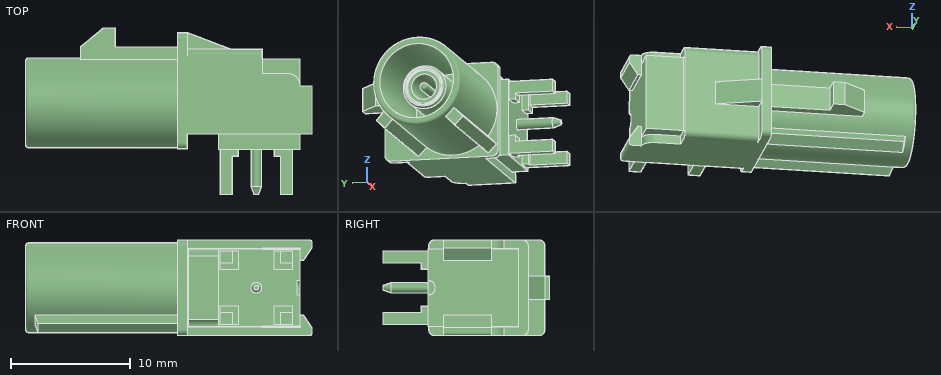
import cadquery as cq


flange_front = 12.67
flange_back = 13.5
flange_bottom = -3.83
flange_top = 5.87
body_width = 8.0
flange_corner_radius = 0.5

barrel_radius = 3.76
barrel_edge_radius = 0.28
bore_radius = 3.16
wall_mid_radius = (barrel_radius + bore_radius) / 2

sleeve_front = 2.45
sleeve_radius = 1.83
sleeve_tip_radius = 1.65
sleeve_taper_length = 0.3
insulator_front = 2.53
insulator_radius = 1.52
insulator_tip_radius = 1.40
insulator_bore_radius = 1.07
contact_tip = 2.3
contact_radius = 0.35
contact_tip_rounding = 0.28

key_size = 1.02
key_outer_reach = 4.75
key_start_inner = 0.78
key_start_outer = 1.04
key_angles = (45, 135)

ridge_width = 1.96
ridge_height = 4.67
ridge_start = 4.57
latch_peak_start = 6.5
latch_peak_end = 7.5
latch_top = 6.26
rib_end = 17.16

housing_bottom = -2.6
housing_top = 4.48
housing_edge_radius = 0.51
housing_step = 19.75
cheek_top = 2.44
cheek_corner_radius = 1.0
tail_top = 1.43
tail_end = 23.9
tail_edge_radius = 0.22
slot_width = 6.56

hook_gap_half = 2.28
hook_flat_end = 23.2
hook_slope_half = 3.33

block_width = 6.46
block_front = 13.58
block_bottom = -1.85
block_top = 3.68
block_back = 22.9
cove_radius = 0.6
neck_radius = 1.4
base_front = 16.08
base_bottom = -3.9
notch_depth = 0.26
notch_width = 1.22

lead_end = -7.65
leg_center_x = 19.25
leg_outer_half_x = 3.02
leg_outer_half_z = 3.07
leg_size = 1.02
foot_size = 1.53
foot_bottom = -4.45
pin_radius = 0.44
pin_tip_radius = 0.19
pin_tip_length = 0.67


def box(x0, x1, y0, y1, z0, z1):
    """Axis-aligned box between two opposite corners."""
    return cq.Workplane("XY").box(x1 - x0, y1 - y0, z1 - z0, centered=False).translate((x0, y0, z0))


def revolve_about_x(points):
    """Solid of revolution about the mating axis from (x, radius) points."""
    return cq.Workplane("XY").polyline(points).close().revolve(360, (0, 0, 0), (1, 0, 0))


def plate(points, width):
    """XY outline extruded symmetrically about Z = 0."""
    return cq.Workplane("XY").polyline(points).close().extrude(width / 2, both=True)


def make_barrel():
    """Tube with a rounded outer rim at the mouth."""
    barrel = cq.Workplane("YZ").circle(barrel_radius).extrude(flange_front)
    barrel = barrel.faces("<X").edges().fillet(barrel_edge_radius)
    bore = cq.Workplane("YZ").circle(bore_radius).extrude(flange_front)
    return barrel.cut(bore)


def make_contacts():
    """Tapered sleeve, the insulating tube inside it and the round-tipped centre contact."""
    insulator_taper = insulator_radius - insulator_tip_radius
    sleeve = revolve_about_x([
        (sleeve_front, insulator_radius),
        (sleeve_front, sleeve_tip_radius),
        (sleeve_front + sleeve_taper_length, sleeve_radius),
        (flange_front, sleeve_radius),
        (flange_front, insulator_radius),
    ])
    insulator = revolve_about_x([
        (insulator_front, insulator_bore_radius),
        (insulator_front, insulator_tip_radius),
        (insulator_front + insulator_taper, insulator_radius),
        (flange_front, insulator_radius),
        (flange_front, insulator_bore_radius),
    ])
    contact = cq.Workplane("YZ").circle(contact_radius).extrude(flange_front - contact_tip)
    contact = contact.faces("<X").edges().fillet(contact_tip_rounding).translate((contact_tip, 0, 0))
    return sleeve.union(insulator).union(contact)


def make_key(angle):
    """Square bar along the barrel, turned by the angle from +Y towards -Z, with a sloped front end."""
    inner_reach = key_outer_reach - key_size
    slope = (key_start_outer - key_start_inner) / key_size
    root_start = key_start_inner - slope * (inner_reach - wall_mid_radius)
    key = plate([
        (root_start, wall_mid_radius),
        (key_start_outer, key_outer_reach),
        (flange_front, key_outer_reach),
        (flange_front, wall_mid_radius),
    ], key_size)
    return key.rotate((0, 0, 0), (1, 0, 0), -angle)


def make_latch_ridge():
    """Ridge along the barrel with a ramped latch peak."""
    return plate([
        (ridge_start, wall_mid_radius),
        (ridge_start, ridge_height),
        (latch_peak_start, latch_top),
        (latch_peak_end, latch_top),
        (latch_peak_end, ridge_height),
        (flange_front, ridge_height),
        (flange_front, wall_mid_radius),
    ], ridge_width)


def make_flange():
    """Rectangular plate with rounded corners."""
    flange = box(flange_front, flange_back, flange_bottom, flange_top, -body_width / 2, body_width / 2)
    return flange.edges("|X").fillet(flange_corner_radius)


def make_rib():
    """Triangular gusset bracing the flange above the housing."""
    return plate([
        (flange_back, housing_top),
        (flange_back, flange_top),
        (rib_end, housing_top),
    ], ridge_width)


def make_housing():
    """Stepped shell open towards the inner block, ending in two hooked cheeks."""
    half = body_width / 2
    front = box(flange_back, housing_step, housing_bottom, housing_top, -half, half)
    front = front.edges("|X and >Y").fillet(housing_edge_radius)
    cheeks = box(housing_step, block_back, housing_bottom, cheek_top, -half, half)
    cheeks = cheeks.edges("|Z and >X and >Y").fillet(cheek_corner_radius)
    tail = box(housing_step, tail_end, housing_bottom, tail_top, -half, half)
    tail = tail.edges("|Y and >X").fillet(tail_edge_radius)
    slot = box(flange_back, block_back, housing_bottom, block_top, -slot_width / 2, slot_width / 2)
    hook_gap = (
        cq.Workplane("XZ")
        .polyline([
            (block_back, -hook_gap_half),
            (hook_flat_end, -hook_gap_half),
            (tail_end, -hook_slope_half),
            (tail_end, hook_slope_half),
            (hook_flat_end, hook_gap_half),
            (block_back, hook_gap_half),
        ])
        .close()
        .extrude(block_top, both=True)
    )
    return front.union(cheeks).union(tail).cut(slot).cut(hook_gap)


def make_inner_block():
    """Block filling the housing, with coved lower edges, a front neck and the notched leg base."""
    half = block_width / 2
    block = box(block_front, block_back, block_bottom, block_top, -half, half)
    for side in (-1, 1):
        cove = cq.Workplane("YZ").center(block_bottom, side * half).circle(cove_radius)
        block = block.cut(cove.extrude(base_front))
    neck = cq.Workplane("YZ", origin=(flange_back, 0, 0)).circle(neck_radius)
    neck = neck.extrude(base_front - flange_back)
    base = box(base_front, block_back, base_bottom, block_top, -half, half)
    notch = (
        cq.Workplane("YZ", origin=(block_back - notch_depth, base_bottom, 0))
        .circle(notch_width / 2)
        .extrude(notch_depth)
    )
    return block.union(neck).union(base.cut(notch))


def make_leg(side_x, side_z):
    """Square leg with a wider foot, both sharing the outer corner."""
    leg = box(0, leg_size, lead_end, base_bottom, 0, leg_size)
    foot = box(0, foot_size, foot_bottom, base_bottom, 0, foot_size)
    leg = leg.union(foot).translate((-leg_outer_half_x, 0, -leg_outer_half_z))
    if side_x > 0:
        leg = leg.mirror("YZ")
    if side_z > 0:
        leg = leg.mirror("XY")
    return leg.translate((leg_center_x, 0, 0))


def make_signal_pin():
    """Round pin along -Y with a tapered tip."""
    profile = [
        (0, base_bottom),
        (pin_radius, base_bottom),
        (pin_radius, lead_end + pin_tip_length),
        (pin_tip_radius, lead_end),
        (0, lead_end),
    ]
    pin = cq.Workplane("XY").polyline(profile).close().revolve(360, (0, 0, 0), (0, 1, 0))
    return pin.translate((leg_center_x, 0, 0))


result = make_flange().union(make_barrel()).union(make_contacts()).union(make_latch_ridge())
for key_angle in key_angles:
    result = result.union(make_key(key_angle))
result = result.union(make_housing()).union(make_rib()).union(make_inner_block())
for leg_side_x in (-1, 1):
    for leg_side_z in (-1, 1):
        result = result.union(make_leg(leg_side_x, leg_side_z))
result = result.union(make_signal_pin())